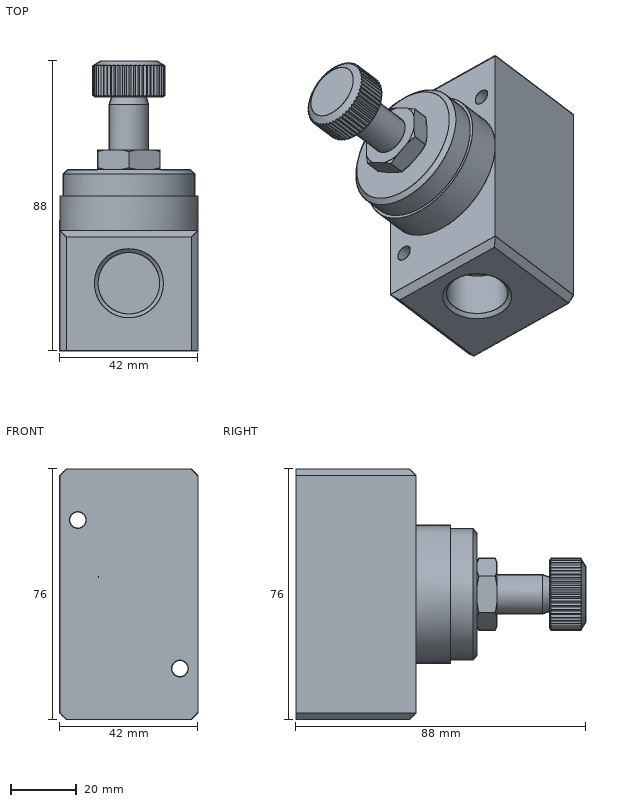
import cadquery as cq
import math

BODY_WIDTH = 42.0
BODY_HEIGHT = 76.0
BODY_DEPTH = 36.5
BODY_CHAMFER = 2.0

MOUNT_HOLE_DIAMETER = 4.9
MOUNT_HOLE_X = 15.5
MOUNT_HOLE_Z = 22.5

PORT_DIAMETER = 18.7
PORT_MOUTH_DIAMETER = 20.9
PORT_DEPTH = 16.0
PORT_Y = 20.5

COLLAR_DIAMETER = BODY_WIDTH
COLLAR_END = 47.0
CAP_DIAMETER = 40.0
CAP_END = 55.0
CAP_CHAMFER_LENGTH = 1.3
CAP_CHAMFER_INSET = 1.5
NUT_ACROSS_FLATS = 19.0
NUT_END = 61.0
NUT_CHAMFER_LENGTH = 0.5
NUT_CHAMFER_INSET = 1.1
STEM_DIAMETER = 12.0
STEM_END = 74.8
NECK_DIAMETER = 10.6

KNOB_DIAMETER = 22
KNOB_START = 77.0
KNOB_END = 88
KNOB_NOSE_DIAMETER = 16.9
KNOB_NOSE_LENGTH = 1.6
KNOB_REAR_LENGTH = 0.5
KNOB_REAR_INSET = 0.7
GROOVE_COUNT = 50
GROOVE_DEPTH = 0.5


def axis_plane(y):
    """Plane across the Y axis at y, facing +Y."""
    return cq.Workplane(cq.Plane(origin=(0, y, 0), xDir=(1, 0, 0), normal=(0, 1, 0)))


def revolve_about_y(points):
    """Solid of revolution about Y from (radius, y) points."""
    return cq.Workplane("XY").polyline(points).close().revolve(360, (0, 0), (0, 1))


def make_body():
    """Block with bevelled long edges and bevelled rear end edges."""
    block = cq.Workplane("XY").box(BODY_WIDTH, BODY_DEPTH, BODY_HEIGHT, centered=(True, False, True))
    block = block.edges("|Y").chamfer(BODY_CHAMFER)
    half_height = BODY_HEIGHT / 2
    side_outline = (
        cq.Workplane("YZ")
        .moveTo(0, -half_height)
        .lineTo(BODY_DEPTH - BODY_CHAMFER, -half_height)
        .lineTo(BODY_DEPTH, BODY_CHAMFER - half_height)
        .lineTo(BODY_DEPTH, half_height - BODY_CHAMFER)
        .lineTo(BODY_DEPTH - BODY_CHAMFER, half_height)
        .lineTo(0, half_height)
        .close()
        .extrude(BODY_WIDTH / 2, both=True)
    )
    return block.intersect(side_outline)


def make_port():
    """Cutter for the upper port: a blind bore with a 45 degree mouth."""
    bore_radius = PORT_DIAMETER / 2
    mouth_radius = PORT_MOUTH_DIAMETER / 2
    mouth_depth = mouth_radius - bore_radius
    top = BODY_HEIGHT / 2
    profile = [
        (0, top - PORT_DEPTH),
        (bore_radius, top - PORT_DEPTH),
        (bore_radius, top - mouth_depth),
        (mouth_radius, top),
        (0, top),
    ]
    bore = cq.Workplane("XZ").polyline(profile).close().revolve(360, (0, 0), (0, 1))
    return bore.translate((0, PORT_Y, 0))


def make_mount_holes():
    """Cutters for the two diagonal mounting holes."""
    return (
        cq.Workplane("XZ")
        .pushPoints([(-MOUNT_HOLE_X, MOUNT_HOLE_Z), (MOUNT_HOLE_X, -MOUNT_HOLE_Z)])
        .circle(MOUNT_HOLE_DIAMETER / 2)
        .extrude(-BODY_DEPTH)
    )


def make_turned_parts():
    """Collar, bevelled cap, stem and tapered neck as one revolved solid."""
    collar_radius = COLLAR_DIAMETER / 2
    cap_radius = CAP_DIAMETER / 2
    stem_radius = STEM_DIAMETER / 2
    return revolve_about_y([
        (0, BODY_DEPTH),
        (collar_radius, BODY_DEPTH),
        (collar_radius, COLLAR_END),
        (cap_radius, COLLAR_END),
        (cap_radius, CAP_END - CAP_CHAMFER_LENGTH),
        (cap_radius - CAP_CHAMFER_INSET, CAP_END),
        (stem_radius, CAP_END),
        (stem_radius, STEM_END),
        (NECK_DIAMETER / 2, KNOB_START),
        (0, KNOB_START),
    ])


def make_nut():
    """Lock nut with two corners on the Z axis, corners bevelled at both ends."""
    corner_radius = NUT_ACROSS_FLATS / math.sqrt(3)
    face_radius = corner_radius - NUT_CHAMFER_INSET
    hexagon = (
        axis_plane(CAP_END)
        .transformed(rotate=(0, 0, 90))
        .polygon(6, 2 * corner_radius)
        .extrude(NUT_END - CAP_END)
    )
    envelope = revolve_about_y([
        (0, CAP_END),
        (face_radius, CAP_END),
        (corner_radius, CAP_END + NUT_CHAMFER_LENGTH),
        (corner_radius, NUT_END - NUT_CHAMFER_LENGTH),
        (face_radius, NUT_END),
        (0, NUT_END),
    ])
    return hexagon.intersect(envelope)


def make_knob():
    """Grooved knob with a tapered nose and a small rear bevel."""
    tip_radius = KNOB_DIAMETER / 2
    root_radius = tip_radius - GROOVE_DEPTH
    rim = []
    for i in range(GROOVE_COUNT):
        for step, radius in ((0, tip_radius), (0.5, root_radius)):
            angle = 2 * math.pi * (i + step) / GROOVE_COUNT
            rim.append((radius * math.sin(angle), radius * math.cos(angle)))
    grooved = axis_plane(KNOB_START).polyline(rim).close().extrude(KNOB_END - KNOB_START)
    envelope = revolve_about_y([
        (0, KNOB_START),
        (tip_radius - KNOB_REAR_INSET, KNOB_START),
        (tip_radius, KNOB_START + KNOB_REAR_LENGTH),
        (tip_radius, KNOB_END - KNOB_NOSE_LENGTH),
        (KNOB_NOSE_DIAMETER / 2, KNOB_END),
        (0, KNOB_END),
    ])
    return grooved.intersect(envelope)


port = make_port()
body = make_body().cut(port).cut(port.mirror("XY")).cut(make_mount_holes())
result = body.union(make_turned_parts()).union(make_nut()).union(make_knob())